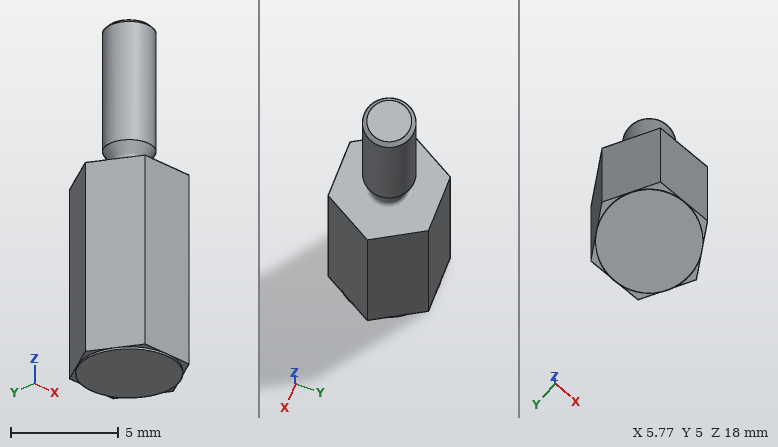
import cadquery as cq
import math

total_height = 18
across_flats = 5.0
body_top = 10.0
seat_height = 0.1
stud_diameter = 2.5
neck_diameter = 1.8
undercut_length = 1.6
undercut_angle = 30
fillet_radius = 0.2
tip_diameter = 2.09
tip_chamfer_height = 0.2

across_corners = across_flats / math.cos(math.radians(30))
stud_radius = stud_diameter / 2
neck_radius = neck_diameter / 2
tip_radius = tip_diameter / 2
angle = math.radians(undercut_angle)
cone_top = body_top + undercut_length
cone_bottom = cone_top - (stud_radius - neck_radius) / math.tan(angle)


def make_body():
    """Hexagonal body, corners along X, standing on a round seat."""
    seat = cq.Workplane("XY").circle(across_flats / 2).extrude(seat_height)
    hexagon = (
        cq.Workplane("XY")
        .workplane(offset=seat_height)
        .polygon(6, across_corners)
        .extrude(body_top - seat_height)
    )
    return seat.union(hexagon)


def make_stud():
    """Revolved stud with a filleted undercut and a chamfered tip."""
    lower_center_r = neck_radius + fillet_radius
    lower_center_z = body_top + fillet_radius
    lower_mid = (
        lower_center_r - fillet_radius * math.cos(math.radians(45)),
        lower_center_z - fillet_radius * math.sin(math.radians(45)),
    )

    upper_center_z = cone_bottom - fillet_radius * math.tan(angle / 2)

    def upper_point(turn):
        return (
            lower_center_r - fillet_radius * math.cos(turn),
            upper_center_z + fillet_radius * math.sin(turn),
        )

    profile = (
        cq.Workplane("XZ")
        .moveTo(0, body_top)
        .lineTo(lower_center_r, body_top)
        .threePointArc(lower_mid, (neck_radius, lower_center_z))
        .lineTo(neck_radius, upper_center_z)
        .threePointArc(upper_point(angle / 2), upper_point(angle))
        .lineTo(stud_radius, cone_top)
        .lineTo(stud_radius, total_height - tip_chamfer_height)
        .lineTo(tip_radius, total_height)
        .lineTo(0, total_height)
        .close()
    )
    return profile.revolve(360, (0, 0, 0), (0, 1, 0))


result = make_body().union(make_stud())